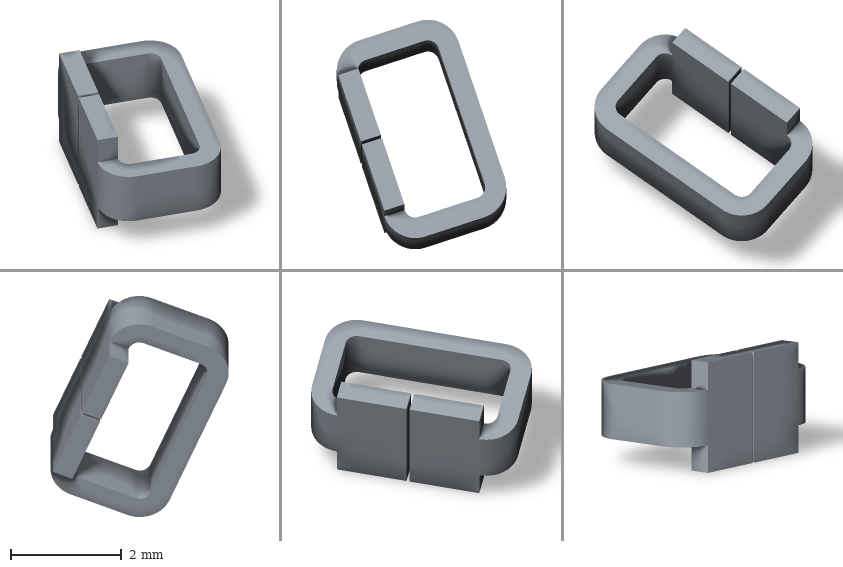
import cadquery as cq

length = 3.81
depth = 2.29
plate_height = 2.03
band_height = plate_height / 2
thickness = 0.38
outer_radius = 0.585
gap = 0.057

inner_radius = outer_radius - thickness
plates_width = length - 2 * outer_radius
front_center_y = (thickness - depth) / 2


def rounded_block(block_length, block_depth, radius):
    """Block of band height with rounded vertical edges, centred on the origin."""
    return cq.Workplane("XY").box(block_length, block_depth, band_height).edges("|Z").fillet(radius)


opening = rounded_block(length - 2 * thickness, depth - 2 * thickness, inner_radius)
band = rounded_block(length, depth, outer_radius).cut(opening)

plate = cq.Workplane("XY").box(plates_width, thickness, plate_height).translate((0, front_center_y, 0))

slit = cq.Workplane("XY").box(gap, thickness, plate_height).translate((0, front_center_y, 0))

result = band.union(plate).cut(slit)